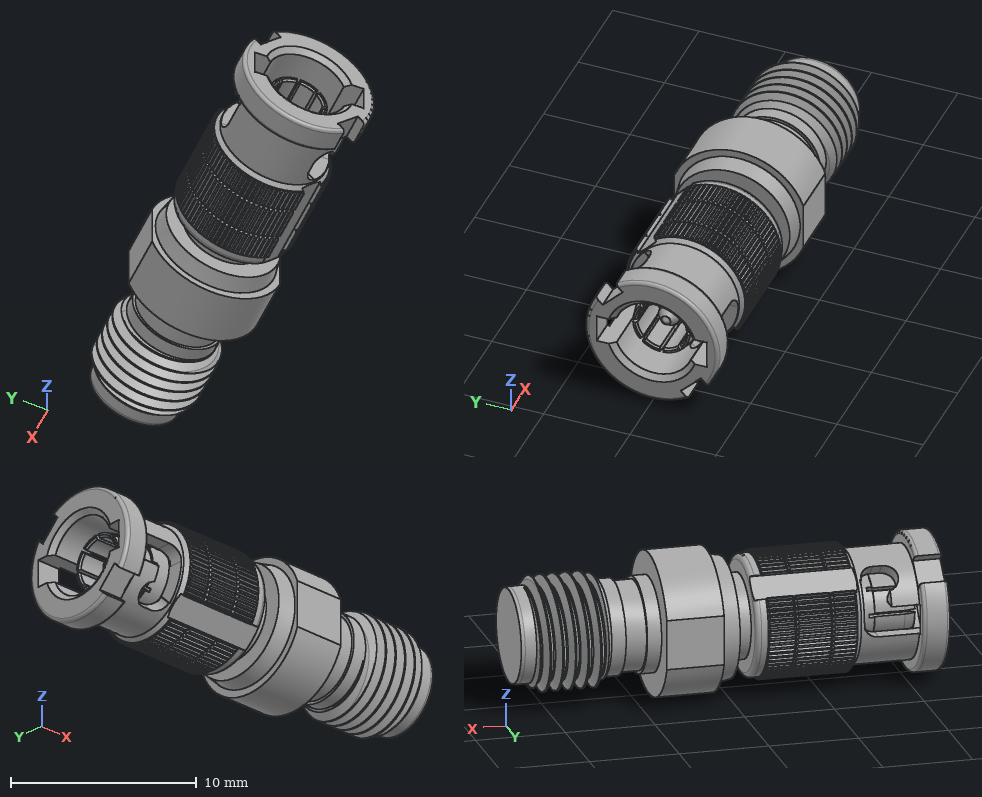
import cadquery as cq
import math


flange_radius = 3.865
flange_length = 1.53
flange_edge_round = 0.2
barrel_radius = 3.16
mouth_radius = 2.62
mouth_depth = 0.3
bore_radius = 2.30
seat_radius = 2.19
bore_depth = 4.62
seat_depth = 5.0

slot_half_width = 0.82
slot_reach = 3.19
turn_start = 3.07
detent_start = 2.5
detent_end = 4.55
detent_width = 1.53
detent_angle = 45.0

grip_start = 4.79
knurl_start = 5.06
knurl_end = 10.03
knurl_radius = 3.52
knurl_depth = 0.12
knurl_count = 76
tooth_top_fraction = 0.4
knurl_end_chamfer = 0.08
ring_groove_positions = (6.45, 8.47)
ring_groove_half_width = 0.12
grip_core_radius = 3.38
grip_end = 10.72
grip_end_round = 0.3

mark_floor = 3.2
flange_mark_width = 1.64
grip_mark_width = 1.46
mark_angle = 45.0

neck_radius = 2.36
body_taper_start = 11.6
body_taper_radius = 3.36
body_taper_end_radius = 3.56
body_start = 12.6
body_end = 15.79
body_radius = 4.0
across_flats = 7.5

tail_radius = 2.66
tail_groove_start = 16.58
tail_groove_end = 17.77
tail_groove_radius = 2.49
overall_length = 23.6
tail_end_chamfer_length = 0.2
tail_end_radius = 2.62
thread_start = 18.57
thread_end = 22.75
thread_radius = 3.18
millimetres_per_inch = 25.4
threads_per_inch = 36
thread_pitch = millimetres_per_inch / threads_per_inch
thread_top_crest = 19.46
thread_crest_width = 0.08
thread_base_fraction = 0.96
thread_lead_in = 0.5
thread_overlap = 0.06
thread_clearance = 0.02

collet_front = 1.4
collet_taper_end = 2.0
collet_front_radius = 1.65
collet_radius = 1.79
collet_bore_radius = 1.42
collet_mouth_radius = 1.53
collet_mouth_depth = 0.1
collet_base_start = 3.7
collet_base_radius = 1.9
collet_slit_count = 8
collet_slit_width = 0.2
collet_slit_end = 4.01
pin_tip = 1.9
pin_nose_length = 0.15
pin_nose_radius = 0.27
pin_radius = 0.61
pin_cone_length = 0.6


def turned(points):
    """Solid of revolution about X from (x, radius) points."""
    return cq.Workplane("XY").polyline(points).close().revolve(360, (0, 0, 0), (1, 0, 0))


def cylinder(x_start, x_end, radius):
    return cq.Workplane("YZ", origin=(x_start, 0, 0)).circle(radius).extrude(x_end - x_start)


def block(x_range, y_range, z_range):
    """Axis-aligned block between the given limits."""
    spans = [high - low for low, high in (x_range, y_range, z_range)]
    corner = (x_range[0], y_range[0], z_range[0])
    return cq.Workplane("XY").box(*spans, centered=False).translate(corner)


def about_axis(shape, angle):
    return shape.rotate((0, 0, 0), (1, 0, 0), angle)


def make_outer_body():
    flange = cylinder(0, flange_length, flange_radius).edges().fillet(flange_edge_round)
    grip_core = cylinder(knurl_start, grip_end, grip_core_radius)
    grip_core = grip_core.faces(">X").edges().fillet(grip_end_round)
    shaft = turned([
        (0, 0),
        (0, barrel_radius),
        (grip_start, barrel_radius),
        (knurl_start, grip_core_radius),
        (knurl_end, grip_core_radius),
        (knurl_end, neck_radius),
        (body_taper_start, neck_radius),
        (body_taper_start, body_taper_radius),
        (body_start, body_taper_end_radius),
        (body_end, body_taper_end_radius),
        (body_end, tail_radius),
        (tail_groove_start, tail_radius),
        (tail_groove_start, tail_groove_radius),
        (tail_groove_end, tail_groove_radius),
        (tail_groove_end, tail_radius),
        (overall_length - tail_end_chamfer_length, tail_radius),
        (overall_length, tail_end_radius),
        (overall_length, 0),
    ])
    return shaft.union(flange).union(grip_core).union(make_wrench_body())


def make_wrench_body():
    body = cylinder(body_start, body_end, body_radius)
    half_flats = across_flats / 2
    return body.intersect(
        block((body_start, body_end), (-half_flats, half_flats), (-body_radius, body_radius))
    )


def make_knurl():
    """Straight-knurled ring of teeth split by V-shaped ring grooves."""
    root_radius = knurl_radius - knurl_depth
    tooth_angle = 2 * math.pi / knurl_count
    outline = []
    tooth_points = (
        (-tooth_top_fraction / 2, knurl_radius),
        (tooth_top_fraction / 2, knurl_radius),
        (0.5, root_radius),
    )
    for tooth in range(knurl_count):
        for fraction, radius in tooth_points:
            angle = (tooth + fraction) * tooth_angle
            outline.append((radius * math.cos(angle), radius * math.sin(angle)))
    band = (
        cq.Workplane("YZ", origin=(knurl_start, 0, 0))
        .polyline(outline)
        .close()
        .circle(neck_radius)
        .extrude(knurl_end - knurl_start)
    )
    envelope = [
        (knurl_start, 0),
        (knurl_start, knurl_radius - knurl_end_chamfer),
        (knurl_start + knurl_end_chamfer, knurl_radius),
    ]
    for x in ring_groove_positions:
        envelope += [
            (x - ring_groove_half_width, knurl_radius),
            (x, root_radius),
            (x + ring_groove_half_width, knurl_radius),
        ]
    envelope += [
        (knurl_end - knurl_end_chamfer, knurl_radius),
        (knurl_end, knurl_radius - knurl_end_chamfer),
        (knurl_end, 0),
    ]
    return band.intersect(turned(envelope))


def make_thread():
    """Helical ridge, faded out at both ends by a chamfered envelope."""
    crests_before = math.ceil((thread_top_crest - thread_start) / thread_pitch)
    helix_start = thread_top_crest - crests_before * thread_pitch
    helix_turns = math.ceil((thread_end - helix_start) / thread_pitch)
    base_radius = tail_radius - thread_overlap
    base_half = thread_pitch * thread_base_fraction / 2
    crest_half = thread_crest_width / 2
    helix = cq.Wire.makeHelix(thread_pitch, helix_turns * thread_pitch, base_radius)
    ridge = (
        cq.Workplane("XZ")
        .polyline([
            (base_radius, -base_half),
            (thread_radius, -crest_half),
            (thread_radius, crest_half),
            (base_radius, base_half),
        ])
        .close()
        .sweep(cq.Workplane(helix), isFrenet=True)
    )
    ridge = about_axis(ridge.rotate((0, 0, 0), (0, 1, 0), 90), 180).translate((helix_start, 0, 0))
    envelope_radius = thread_radius + thread_clearance
    envelope = turned([
        (thread_start, 0),
        (thread_start, tail_radius),
        (thread_start + thread_lead_in, envelope_radius),
        (thread_end - thread_lead_in, envelope_radius),
        (thread_end, tail_radius),
        (thread_end, 0),
    ])
    return ridge.intersect(envelope)


def make_socket():
    """Stepped cavity inside the coupling sleeve."""
    return turned([
        (0, 0),
        (0, mouth_radius),
        (mouth_depth, bore_radius),
        (bore_depth, bore_radius),
        (bore_depth, seat_radius),
        (seat_depth, seat_radius),
        (seat_depth, 0),
    ])


def make_collet():
    """Tube with sprung fingers, closed behind the slits."""
    collet = turned([
        (collet_front + collet_mouth_depth, collet_bore_radius),
        (collet_front, collet_mouth_radius),
        (collet_front, collet_front_radius),
        (collet_taper_end, collet_radius),
        (collet_base_start, collet_radius),
        (collet_base_start, collet_base_radius),
        (seat_depth, collet_base_radius),
        (seat_depth, 0),
        (collet_slit_end, 0),
        (collet_slit_end, collet_bore_radius),
    ])
    half_slit = collet_slit_width / 2
    slit = block((collet_front, collet_slit_end), (0, seat_radius), (-half_slit, half_slit))
    for index in range(collet_slit_count):
        collet = collet.cut(about_axis(slit, index * 360 / collet_slit_count))
    return collet


def make_pin():
    return turned([
        (pin_tip, 0),
        (pin_tip + pin_nose_length, pin_nose_radius),
        (pin_tip + pin_cone_length, pin_radius),
        (collet_slit_end, pin_radius),
        (collet_slit_end, 0),
    ])


def make_bayonet_slot():
    """Slot on the -Y side: axial entry, turn toward -Z, round-ended detent."""
    slot_z = (-slot_half_width, slot_half_width)
    entry = block((0, bore_depth), (-slot_reach, -collet_base_radius), slot_z)
    entry = entry.edges("|Y and >X and >Z").fillet(slot_half_width)
    turn = (
        cq.Workplane("XY")
        .polyline([
            (turn_start, -bore_radius),
            (bore_depth, -bore_radius),
            (bore_depth, -slot_reach),
            (turn_start, -slot_reach),
        ])
        .close()
        .revolve(detent_angle, (0, 0, 0), (1, 0, 0))
    )
    detent = (
        cq.Workplane("XZ", origin=((detent_start + detent_end) / 2, -collet_base_radius, 0))
        .slot2D(detent_end - detent_start, detent_width)
        .extrude(slot_reach - collet_base_radius)
    )
    return entry.union(turn).union(about_axis(detent, detent_angle))


def make_index_mark():
    """Flat-bottomed grooves in the flange and the grip, on the -Y side before turning."""
    groove_y = (-body_radius, -mark_floor)
    flange_half = flange_mark_width / 2
    grip_half = grip_mark_width / 2
    flange_groove = block((0, flange_length), groove_y, (-flange_half, flange_half))
    grip_groove = block((grip_start, grip_end), groove_y, (-grip_half, grip_half))
    return about_axis(flange_groove.union(grip_groove), mark_angle)


connector = make_outer_body().cut(make_socket())
for side_angle in (0, 180):
    connector = connector.cut(about_axis(make_bayonet_slot(), side_angle))

index_marks = make_index_mark().union(about_axis(make_index_mark(), 180))
connector = connector.cut(index_marks)
knurl = make_knurl().cut(index_marks)
result = connector.union(make_collet()).union(make_pin()).union(make_thread()).union(knurl)